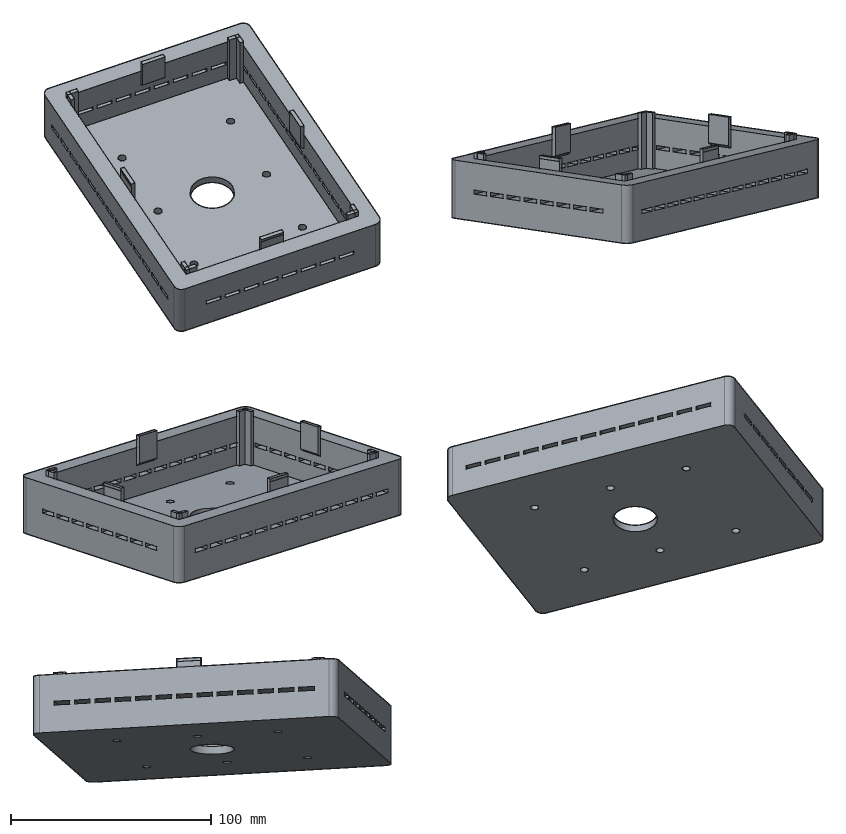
import cadquery as cq

LENGTH = 157.0
WIDTH = 113.5
WALL_HEIGHT = 29.6
WALL = 9.0
FLOOR = 4.0
CORNER_RADIUS = 4.0
CAVITY_LENGTH = LENGTH - 2 * WALL
CAVITY_WIDTH = WIDTH - 2 * WALL

CENTRE_HOLE_DIAMETER = 22.0
MOUNT_HOLE_DIAMETER = 4.0
MOUNT_SPACING_X = 41.5
MOUNT_SPACING_Y = 60.0
MOUNT_COLUMNS = 3
MOUNT_ROWS = 2

SLOT_LENGTH = 8.0
SLOT_HEIGHT = 2.0
SLOT_PITCH = 10.5
SLOT_BOTTOM = (WALL_HEIGHT - SLOT_HEIGHT) / 2
LONG_WALL_SLOTS = 13
SHORT_WALL_SLOTS = 8

POST_LEG = 6.0
POST_THICKNESS = 2.0
POST_TOP = WALL_HEIGHT + 3.0
POST_CORNER_RELIEF = 0.05

TAB_WIDTH = 12.4
TAB_THICKNESS = 2.0
TAB_TOP = WALL_HEIGHT + 6.5
TAB_BOTTOM = WALL_HEIGHT - 8.0
TAB_FOOT_DROP = 1.5
LIP_HEIGHT = 1.5
LIP_PROJECTION = 0.1


def block(x_min, x_max, y_min, y_max, z_min, z_max):
    """Box given by its limits along each axis."""
    size = (x_max - x_min, y_max - y_min, z_max - z_min)
    return cq.Workplane("XY").box(*size, centered=False).translate((x_min, y_min, z_min))


def open_box():
    """Rounded block with a square-cornered cavity above the floor."""
    outer = cq.Workplane("XY").rect(LENGTH, WIDTH).extrude(WALL_HEIGHT).edges("|Z").fillet(CORNER_RADIUS)
    cavity = cq.Workplane("XY", origin=(0, 0, FLOOR)).rect(CAVITY_LENGTH, CAVITY_WIDTH).extrude(WALL_HEIGHT)
    return outer.cut(cavity)


def floor_holes():
    """Central opening and a centred grid of mounting holes."""
    centre = cq.Workplane("XY").circle(CENTRE_HOLE_DIAMETER / 2).extrude(FLOOR)
    mounts = (
        cq.Workplane("XY")
        .rarray(MOUNT_SPACING_X, MOUNT_SPACING_Y, MOUNT_COLUMNS, MOUNT_ROWS)
        .circle(MOUNT_HOLE_DIAMETER / 2)
        .extrude(FLOOR)
    )
    return centre.union(mounts)


def vent_slots():
    """Rows of slots running through each pair of opposite walls."""
    base = cq.Workplane("XY", origin=(0, 0, SLOT_BOTTOM))
    long_row = base.rarray(SLOT_PITCH, 1, LONG_WALL_SLOTS, 1)
    short_row = base.rarray(1, SLOT_PITCH, 1, SHORT_WALL_SLOTS)
    long_walls = long_row.rect(SLOT_LENGTH, WIDTH).extrude(SLOT_HEIGHT)
    short_walls = short_row.rect(LENGTH, SLOT_LENGTH).extrude(SLOT_HEIGHT)
    return long_walls.union(short_walls)


def corner_posts():
    """The post in the -X -Y cavity corner, mirrored into all four corners."""
    x = -CAVITY_LENGTH / 2
    y = -CAVITY_WIDTH / 2
    x_inner = x + POST_THICKNESS
    y_inner = y + POST_THICKNESS
    leg_x = block(x, x + POST_LEG, y, y_inner, FLOOR, POST_TOP)
    leg_y = block(x, x_inner, y, y + POST_LEG, FLOOR, POST_TOP)
    corner = block(x, x_inner, y, y_inner, WALL_HEIGHT, POST_TOP)
    relieved_corner = block(
        x + POST_CORNER_RELIEF, x_inner,
        y + POST_CORNER_RELIEF, y_inner,
        WALL_HEIGHT, POST_TOP - POST_CORNER_RELIEF,
    )
    post = leg_x.union(leg_y).cut(corner.cut(relieved_corner))
    pair = post.union(post.mirror("YZ"))
    return pair.union(pair.mirror("XZ"))


def clip_tab(wall_distance):
    """Tab on a -X wall at wall_distance from the centre, with a foot sloping down to the wall."""
    x = -wall_distance
    x_inner = x + TAB_THICKNESS
    half = TAB_WIDTH / 2
    plate = block(x, x_inner, -half, half, TAB_BOTTOM, TAB_TOP)
    lip = block(x - LIP_PROJECTION, x_inner, -half, half, TAB_TOP - LIP_HEIGHT, TAB_TOP)
    foot = (
        cq.Workplane("XZ", origin=(0, half, 0))
        .polyline([(x, TAB_BOTTOM), (x_inner, TAB_BOTTOM), (x, TAB_BOTTOM - TAB_FOOT_DROP)])
        .close()
        .extrude(TAB_WIDTH)
    )
    return plate.union(lip).union(foot)


def clip_tabs():
    """One tab on each cavity wall, standing above the rim."""
    tab_x = clip_tab(CAVITY_LENGTH / 2)
    tab_y = clip_tab(CAVITY_WIDTH / 2).rotate((0, 0, 0), (0, 0, 1), 90)
    return tab_x.union(tab_x.mirror("YZ")).union(tab_y).union(tab_y.mirror("XZ"))


result = open_box().cut(floor_holes()).cut(vent_slots()).union(corner_posts()).union(clip_tabs())